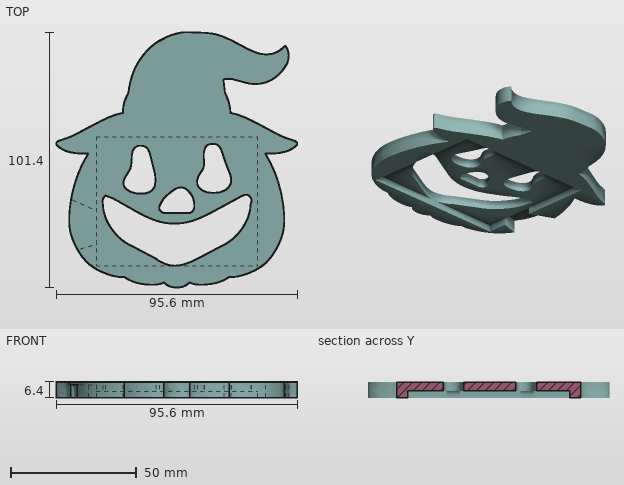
import cadquery as cq

thickness = 6.4

recess_depth = 2.7
recess_half_width = 31.9
recess_bottom_y = 8.7
recess_top_y = 59.8

pocket_roof = 1.2
pocket_height = thickness - pocket_roof
pocket_outer_x = -43.6
pocket_outer_y = {"north": 35.8, "south": 14.0}
pocket_inner_y = {"north": 30.6, "south": 17.2}

bottom_lobe = [[(-5.1, 2), (-2.9, 0.5), (0, 0), (2.9, 0.5), (5.1, 2)]]
half_pumpkin = [
    [(5.1, 2), (7.1, 1.3), (10.6, 1.1), (15.7, 1.8), (20.8, 4.2)],
    [
        (20.8, 4.2), (23.3, 4.3), (27.4, 5.3), (35.3, 9.7), (39.8, 15.9), (42.3, 22.3),
        (42.7, 28.4), (41.6, 37.0), (39.2, 44.9), (35.2, 53.1),
    ],
    [
        (35.2, 53.1), (39.5, 53.2), (44.2, 54.2), (47.1, 56.1), (47.8, 57.2), (47.2, 58.0),
        (45.4, 58.7), (41.1, 60.3), (32.4, 64.9), (26.7, 67.7), (21.4, 69.3),
    ],
]

hat = [
    [(21.1, 68.4), (20.8, 73.2), (19.2, 77.3)],
    [(18.9, 76.3), (18.5, 82.6)],
    [
        (18.3, 81.5), (21.8, 82.7), (27.4, 81.2), (32.7, 80.8), (37.5, 82.3), (41.6, 85.6),
        (43.9, 89.1), (44.4, 92.7), (43.1, 96.0),
    ],
    [
        (42.5, 94.7), (40.5, 93.9), (35.5, 92.4), (30.4, 93.7), (21.3, 98.3), (14.2, 100.8), (7.1, 101.3),
        (2.3, 101.3), (-3, 99.8), (-8.6, 96.8), (-13.3, 92.2), (-16.7, 86.7), (-18.4, 81.6), (-19.3, 77.1),
    ],
    [(-19, 76.1), (-20.9, 73.4), (-21.4, 69.3)],
]

left_eye = [
    (-14.2, 56.3), (-11.6, 55.1), (-10.4, 52.5), (-9.3, 47.9), (-8.4, 42.6), (-8.8, 40.0),
    (-10.6, 38.0), (-14.2, 37.3), (-18.2, 38.0), (-20.9, 40.3), (-21.0, 42.5), (-18.5, 46.8),
    (-17.8, 51.0), (-17.4, 54.1), (-16.3, 55.7),
]
right_eye = [
    (14.2, 57.0), (16.8, 56.1), (18.1, 53.2), (19.4, 49.5), (21.1, 45.1), (21.5, 41.6), (19.5, 38.8),
    (14.4, 37.6), (9.9, 38.7), (8.2, 40.8), (8.6, 44.1), (10.6, 47.6), (10.8, 54.1), (11.9, 56.3),
]
nose = [
    [(-5.1, 29.6), (5.1, 29.6)],
    [
        (5, 29.2), (6.7, 30.9), (6.9, 33.4), (6.3, 36.0), (4.5, 38.5), (2, 39.7), (-0.7, 39.0),
        (-3.5, 36.9), (-6.4, 33.4), (-6.9, 31.4), (-5.1, 29.6),
    ],
]

lower_lip = [[(-8.3, 11.6), (-4.6, 9.4), (-0.8, 8.7), (3, 9.3), (8.3, 11.6)]]
mouth_side = [
    [(8.3, 11.6), (17.7, 16.5)],
    [(17.7, 16.5), (21.8, 19.0), (25.9, 23.5), (28.3, 28.0), (29.3, 33.4)],
]
upper_lip = [
    [
        (28.9, 33), (29.3, 35.7), (27.9, 36.8), (25.3, 36.1), (19.3, 32.7), (12.7, 29.2), (5.6, 26.3),
        (-0.8, 25.3), (-6.6, 26.0), (-12.7, 28.4), (-20.6, 32.7), (-25.3, 35.4), (-28.3, 36.5),
    ],
    [(-27.9, 36), (-29.1, 35.5), (-29.3, 33.4)],
]


def mirrored(runs):
    """Left-hand copy of runs, ordered so that it leads back down."""
    return [[(-x, y) for x, y in reversed(run)] for run in reversed(runs)]


def outline_plate(runs):
    """Plate-thick solid whose outline joins smooth runs at sharp corners."""
    outline = cq.Workplane("XY").moveTo(*runs[0][0])
    for run in runs:
        if len(run) == 2:
            outline = outline.lineTo(*run[1])
        else:
            outline = outline.spline(run[1:], includeCurrent=True)
    return outline.close().extrude(thickness)


def smooth_plate(points):
    """Plate-thick solid with one smooth closed outline."""
    return cq.Workplane("XY").spline(points, periodic=True).close().extrude(thickness)


def underside_recess():
    """Rectangular recess in the underside."""
    return cq.Workplane("XY").box(
        2 * recess_half_width, recess_top_y - recess_bottom_y, recess_depth, centered=False
    ).translate((-recess_half_width, recess_bottom_y, 0))


def side_pocket():
    """Pocket that narrows from the left edge to the recess."""
    return (
        cq.Workplane("XY")
        .moveTo(pocket_outer_x, pocket_outer_y["north"])
        .lineTo(-recess_half_width, pocket_inner_y["north"])
        .lineTo(-recess_half_width, pocket_inner_y["south"])
        .lineTo(pocket_outer_x, pocket_outer_y["south"])
        .close()
        .extrude(pocket_height)
    )


result = (
    outline_plate(bottom_lobe + half_pumpkin + hat + mirrored(half_pumpkin))
    .cut(outline_plate(lower_lip + mouth_side + upper_lip + mirrored(mouth_side)))
    .cut(outline_plate(nose))
    .cut(smooth_plate(left_eye))
    .cut(smooth_plate(right_eye))
    .cut(underside_recess())
    .cut(side_pocket())
)